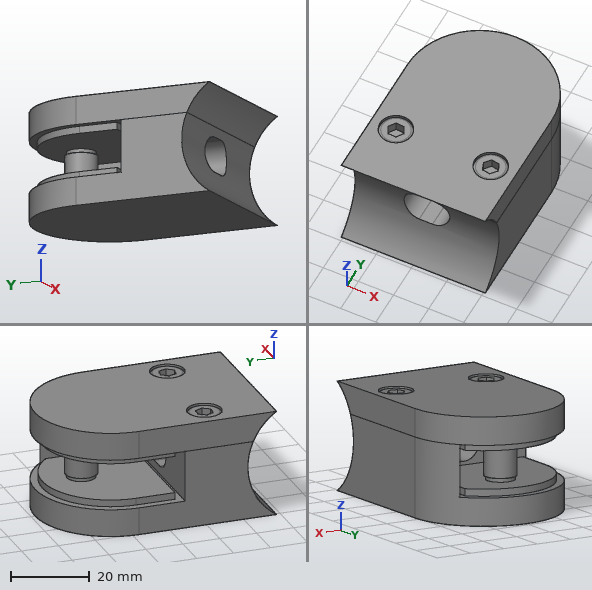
import cadquery as cq
import math

width = 41.0
length = 57.85
height = 28.5
round_radius = width / 2
saddle_end = round_radius - length
mid_height = height / 2

jaw_thickness = 7.4
slot_top = height - jaw_thickness
slot_length = 33.1
slot_floor = round_radius - slot_length
side_wall = 5.0
wall_inner = round_radius - side_wall
gasket_thickness = 1.85
gasket_inset = 2.0

saddle_depth = 7.75
saddle_radius = (mid_height**2 + saddle_depth**2) / (2 * saddle_depth)
saddle_axis = saddle_end + saddle_depth - saddle_radius

bolt_hole_width = 13.0
bolt_hole_height = 9.2

pin_y = 8.0
pin_radius = 4.3
neck_radius = 3.8
neck_height = 1.05

screw_x = 13.5
screw_y = saddle_end + 16.95
head_radius = 4.5
head_height = 5.0
head_fillet = 0.65
head_recess = 0.35
head_top = height - head_recess
shank_radius = 2.5
shank_length = 15.95
socket_width = 4.0
socket_depth = 2.5
socket_corner_diameter = socket_width / math.cos(math.pi / 6)
socket_angles = {-screw_x: -4.5, screw_x: -10.0}


def rounded_plate(radius, back_y, bottom_z, thickness):
    """Plate with a semicircular end about the origin and straight sides back to back_y."""
    return (
        cq.Workplane("XY", origin=(0, 0, bottom_z))
        .moveTo(-radius, back_y)
        .lineTo(-radius, 0)
        .threePointArc((0, radius), (radius, 0))
        .lineTo(radius, back_y)
        .close()
        .extrude(thickness)
    )


def saddle_cutter():
    return (
        cq.Workplane("YZ")
        .center(saddle_axis, mid_height)
        .circle(saddle_radius)
        .extrude(width, both=True)
    )


def bolt_hole_cutter():
    return (
        cq.Workplane("XZ", origin=(0, slot_floor, mid_height))
        .slot2D(bolt_hole_width, bolt_hole_height)
        .extrude(slot_floor - saddle_end)
    )


def slot_cutter():
    """Glass slot, open at the rounded end and on -X, closed by the wall on +X."""
    return cq.Workplane("XY").box(
        width, slot_length, slot_top - jaw_thickness, centered=False
    ).translate((wall_inner - width, slot_floor, jaw_thickness))


def screw_head(x, top_z):
    """Plain cylinder from the underside of a screw head up to top_z."""
    seat_z = head_top - head_height
    return cq.Workplane("XY", origin=(x, screw_y, seat_z)).circle(head_radius).extrude(top_z - seat_z)


def screw_shank(x):
    return (
        cq.Workplane("XY", origin=(x, screw_y, head_top - head_height))
        .circle(shank_radius)
        .extrude(-shank_length)
    )


def screw_hole_cutter(x):
    """Stepped hole that fits a screw and opens on the top face."""
    return screw_head(x, height).union(screw_shank(x))


def make_screw(x):
    """Screw with a rounded head rim and a hexagonal socket."""
    socket = (
        cq.Workplane("XY")
        .polygon(6, socket_corner_diameter)
        .extrude(-socket_depth)
        .rotate((0, 0, 0), (0, 0, 1), socket_angles[x])
        .translate((x, screw_y, head_top))
    )
    head = screw_head(x, head_top).faces(">Z").edges().fillet(head_fillet)
    return head.union(screw_shank(x)).cut(socket)


def make_base():
    """Lower jaw, side wall and rear block in one piece, below the cover."""
    base = rounded_plate(round_radius, saddle_end, 0, slot_top)
    base = base.cut(slot_cutter()).cut(saddle_cutter()).cut(bolt_hole_cutter())
    for x in socket_angles:
        base = base.cut(screw_hole_cutter(x))
    return base


def make_cover():
    """Upper jaw, a full-length plate lying on the base."""
    cover = rounded_plate(round_radius, saddle_end, slot_top, jaw_thickness)
    cover = cover.cut(saddle_cutter())
    for x in socket_angles:
        cover = cover.cut(screw_hole_cutter(x))
    return cover


def make_gasket(bottom_z):
    """Pad inset from the jaw outline and kept clear of the slot floor and side wall."""
    pad = rounded_plate(
        round_radius - gasket_inset, slot_floor + gasket_inset, bottom_z, gasket_thickness
    )
    wall_clearance = cq.Workplane("XY").box(
        width, 2 * length, height, centered=(False, True, False)
    ).translate((wall_inner - gasket_inset, 0, 0))
    return pad.cut(wall_clearance)


def make_pin():
    """Cylinder with a short narrower neck at each end."""
    bottom = jaw_thickness + gasket_thickness
    pin_length = slot_top - jaw_thickness - 2 * gasket_thickness
    core = cq.Workplane("XY", origin=(0, pin_y, bottom)).circle(neck_radius).extrude(pin_length)
    barrel = (
        cq.Workplane("XY", origin=(0, pin_y, bottom + neck_height))
        .circle(pin_radius)
        .extrude(pin_length - 2 * neck_height)
    )
    return core.union(barrel)


base = make_base()
cover = make_cover()
pin = make_pin()
gaskets = [make_gasket(z) for z in (jaw_thickness, slot_top - gasket_thickness)]
screws = [make_screw(x) for x in socket_angles]

result = cq.Compound.makeCompound(
    [body.val() for body in (base, cover, pin, *gaskets, *screws)]
)